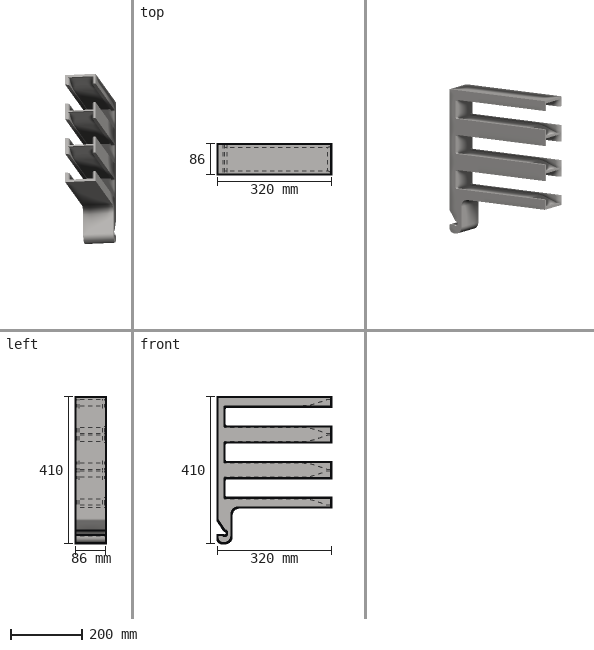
import cadquery as cq
import math

length = 320.0
width = 86.0
height = 410.0

back_wall = 21.0
outer_shelf = 28.0
middle_shelf = 46.0
slot_height = 54.0
slot_count = 3
slot_corner_radius = 3.3
slot_pitch = slot_height + middle_shelf
rack_height = 2 * outer_shelf + slot_count * slot_height + (slot_count - 1) * middle_shelf
rack_bottom = height - rack_height

stem_width = 40.0
stem_fillet = stem_width / 2
heel_radius = stem_width / 2
toe_radius = 15.0
throat_radius = 7.5
throat_x = 19.5
throat_z = 28.3
lip_z = 23.8
lip_end_x = 16.0
lead_in_z = 65.5
lead_in_fillet = 10.0

rail_width = 10.2
pocket_depth = 3.3
mouth_depth = 21.0
mouth_flat = 11.0
ramp_length = 35.0
ramp_drop = 12.0
flare_radius = 20.5
rail_tip_width = 5.0


def hook_rack_body():
    """Solid side outline of the rack and its hook, extruded across the width."""
    throat_top = (throat_x, throat_z + throat_radius)
    throat_right = (throat_x + throat_radius, throat_z)
    throat_bottom = (throat_x, throat_z - throat_radius)
    outline = (
        cq.Workplane("XZ")
        .moveTo(0, height)
        .lineTo(length, height)
        .lineTo(length, rack_bottom)
        .lineTo(stem_width + stem_fillet, rack_bottom)
        .radiusArc((stem_width, rack_bottom - stem_fillet), -stem_fillet)
        .lineTo(stem_width, heel_radius)
        .radiusArc((stem_width - heel_radius, 0), heel_radius)
        .lineTo(toe_radius, 0)
        .radiusArc((0, toe_radius), toe_radius)
        .lineTo(0, lip_z)
        .lineTo(lip_end_x, lip_z)
        .lineTo(*throat_bottom)
        .threePointArc(throat_right, throat_top)
        .lineTo(0, lead_in_z)
        .close()
    )
    body = outline.extrude(width / 2, both=True)
    lead_in_edge = cq.selectors.NearestToPointSelector((0, 0, lead_in_z))
    return body.edges(lead_in_edge).fillet(lead_in_fillet)


def slot(center_z):
    """Window through both sides, open at the +X end."""
    return (
        cq.Workplane("XY")
        .box(length - back_wall, width, slot_height, centered=(False, True, True))
        .translate((back_wall, 0, center_z))
        .edges("|Y and <X")
        .fillet(slot_corner_radius)
    )


def compartment(center_z):
    """Cavity between the rails, with floor and ceiling ramps and flared rail tips at the mouth."""
    mouth_x = length - mouth_flat
    ramp_x = mouth_x - ramp_length
    ramp_angle = math.atan(ramp_drop / ramp_length)
    inner_half = slot_height / 2 + pocket_depth
    mouth_half = slot_height / 2 + mouth_depth
    ramp_half = mouth_half - ramp_drop

    bend_radius = (ramp_half - inner_half) / (1 - math.cos(ramp_angle))
    bend_x = ramp_x - bend_radius * math.sin(ramp_angle)
    side = (
        cq.Workplane("XZ")
        .moveTo(back_wall, 0)
        .lineTo(back_wall, inner_half)
        .lineTo(bend_x, inner_half)
        .radiusArc((ramp_x, ramp_half), -bend_radius)
        .lineTo(mouth_x, mouth_half)
        .lineTo(length, mouth_half)
        .lineTo(length, 0)
        .close()
        .extrude(width / 2, both=True)
    )
    side = side.union(side.mirror("XY"))

    inner_half_width = width / 2 - rail_width
    tip_half_width = width / 2 - rail_tip_width
    flare = tip_half_width - inner_half_width
    flare_length = math.sqrt(flare * (2 * flare_radius - flare))
    plan = (
        cq.Workplane("XY")
        .moveTo(back_wall, 0)
        .lineTo(back_wall, inner_half_width)
        .lineTo(length - flare_length, inner_half_width)
        .radiusArc((length, tip_half_width), -flare_radius)
        .lineTo(length, 0)
        .close()
        .extrude(mouth_half, both=True)
    )
    plan = plan.union(plan.mirror("XZ"))
    return side.intersect(plan).translate((0, 0, center_z))


result = hook_rack_body()
for index in range(slot_count):
    slot_center_z = height - outer_shelf - slot_height / 2 - index * slot_pitch
    result = result.cut(slot(slot_center_z)).cut(compartment(slot_center_z))